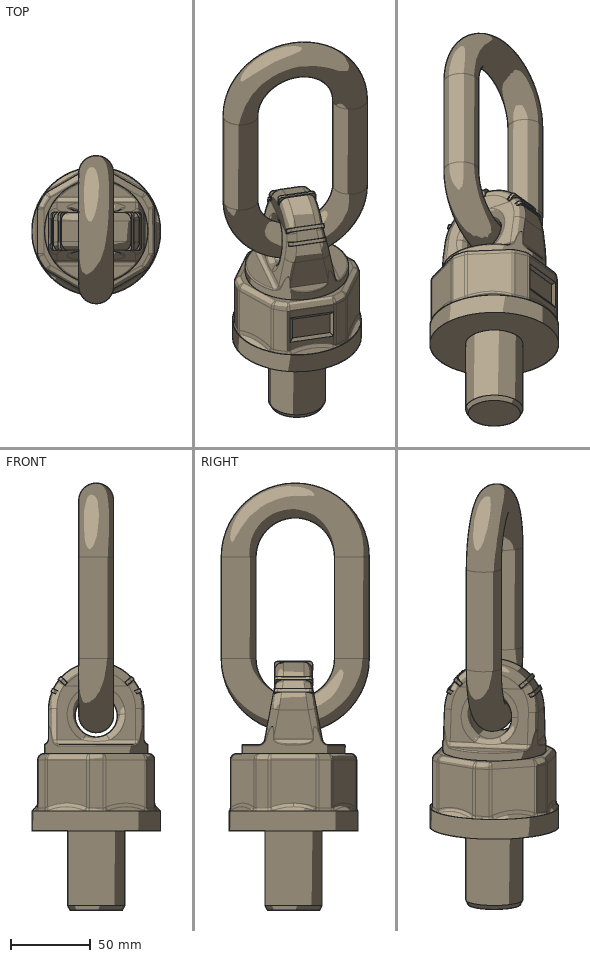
import cadquery as cq
import math

flange_bottom = 50.0
flange_top = 62.5
hex_top = 98.5
disc_top = 104.2
hole_height = 122.2
arch_height = 126.0
kink_height = 141.0
total_height = 268.5

margin = 0.8

stud_radius = 18.0
stud_chamfer_height = 3.0
stud_chamfer_inset = 1.5
flange_radius = 40.5
hex_half_width = 36.8
hex_corner_radius = 39.7
hex_edge_fillet = 4.8
hex_top_fillet = 4.0
flare_radius = 40.3
flare_fillet = 3.2

label_height = 80.3
label_floor_width = 24.2
label_floor_height = 14.0
label_depth = 1.3
label_wall_run = 2.1

disc_radius = 32.5
untrimmed_disc_radius = 48.3
disc_edge_fillet = 0.8
arch_radius = 30.0
arch_half_thickness = 11.8
cheek_slope = 10.7
hole_radius = 13.2
hole_fillet = 5.0
arch_fillet = 5.5
foot_fillet = 3.5

rib_angles = (24, 41, 90, 139, 156)
rib_width = 2.5
rib_height = 0.5
rib_inner_radius = 25.0
rib_corner_fillet = 2.1

link_width = 93.2
wire_radius = 11.0
link_lower_center = 158.2
link_shift = 1.0


def disc_at(height, radius, thickness):
    return cq.Workplane("XY", origin=(0, 0, height)).circle(radius).extrude(thickness)


def edge_box(half_x, bottom, top):
    """Picks edges within half_x of the axis and between two heights."""
    return cq.selectors.BoxSelector((-half_x, -flange_radius, bottom), (half_x, flange_radius, top))


def make_flare():
    """45-degree cone that runs from the flange up into the flats."""
    height = (hex_top - flange_top) / 2
    flare = cq.Solid.makeCone(
        flare_radius, flare_radius - height, height, pnt=cq.Vector(0, 0, flange_top)
    )
    return cq.Workplane(obj=flare)


def make_hexagon():
    """Hexagon with flats facing +X and -X, rounded corners and a flared foot."""
    height = hex_top - flange_top
    flats = cq.Workplane("XY", origin=(0, 0, flange_top)).polygon(
        6, 2 * hex_half_width, circumscribed=True
    ).extrude(height)
    hexagon = flats.intersect(disc_at(flange_top, hex_corner_radius, height))
    hexagon = hexagon.edges("|Z").fillet(hex_edge_fillet)
    hexagon = hexagon.faces(">Z").edges().fillet(hex_top_fillet)
    hexagon = hexagon.union(make_flare())
    return hexagon.edges("%HYPERBOLA").fillet(flare_fillet)


def make_label_recess():
    mouth_width = label_floor_width + 2 * label_wall_run
    mouth_height = label_floor_height + 2 * label_wall_run
    return (
        cq.Workplane("YZ", origin=(-hex_half_width, 0, label_height))
        .rect(mouth_width, mouth_height)
        .workplane(offset=label_depth)
        .rect(label_floor_width, label_floor_height)
        .loft()
    )


def make_stud():
    return cq.Workplane("XZ").polyline([
        (0, 0),
        (stud_radius - stud_chamfer_inset, 0),
        (stud_radius, stud_chamfer_height),
        (stud_radius, flange_bottom),
        (0, flange_bottom),
    ]).close().revolve(360, (0, 0, 0), (0, 1, 0))


def make_base():
    flange = disc_at(flange_bottom, flange_radius, flange_top - flange_bottom)
    return make_hexagon().union(flange).union(make_stud()).cut(make_label_recess())


def make_arch():
    """Round-topped upright whose cheeks lean outward below the kink, with a rounded rim."""
    outline = (
        cq.Workplane("XZ", origin=(0, flange_radius, 0))
        .moveTo(-arch_radius, hex_top)
        .lineTo(-arch_radius, arch_height)
        .threePointArc((0, arch_height + arch_radius), (arch_radius, arch_height))
        .lineTo(arch_radius, hex_top)
        .close()
        .extrude(2 * flange_radius)
    )
    foot_half = arch_half_thickness + (kink_height - hex_top) * math.tan(math.radians(cheek_slope))
    cheeks = cq.Workplane("YZ", origin=(-flange_radius, 0, 0)).polyline([
        (-foot_half, hex_top),
        (-arch_half_thickness, kink_height),
        (-arch_half_thickness, total_height),
        (arch_half_thickness, total_height),
        (arch_half_thickness, kink_height),
        (foot_half, hex_top),
    ]).close().extrude(2 * flange_radius)
    arch = outline.intersect(cheeks)
    rim = arch.edges(edge_box(disc_radius, hex_top + margin, total_height))
    return rim.edges("not(|X)").edges("not(|Y)").fillet(arch_fillet)


def make_rib(angle):
    length = arch_radius + rib_height - rib_inner_radius
    thickness = 2 * (arch_half_thickness + rib_height / 2)
    rib = cq.Workplane("XY").box(length, thickness, rib_width, centered=(False, True, True))
    rib = rib.faces(">X").edges("|Z").fillet(rib_corner_fillet)
    rib = rib.translate((rib_inner_radius, 0, 0)).rotate((0, 0, 0), (0, 1, 0), -angle)
    return rib.translate((0, 0, arch_height))


def make_hole():
    return cq.Workplane("XZ", origin=(0, flange_radius, hole_height)).circle(hole_radius).extrude(
        2 * flange_radius
    )


def make_eye():
    """Arch faired into an oversized disc, which is then trimmed round."""
    oversized_disc = disc_at(hex_top, untrimmed_disc_radius, disc_top - hex_top)
    eye = make_arch().union(oversized_disc)
    eye = eye.edges(edge_box(disc_radius, disc_top - margin, disc_top + margin)).fillet(foot_fillet)
    eye = eye.intersect(disc_at(hex_top, disc_radius, total_height))
    eye = eye.faces("+Z").edges("%CIRCLE").fillet(disc_edge_fillet)

    eye = eye.cut(make_hole())
    mouths = edge_box(
        hole_radius + margin, hole_height - hole_radius - margin, hole_height + hole_radius + margin
    )
    eye = eye.edges(mouths).fillet(hole_fillet)
    for angle in rib_angles:
        eye = eye.union(make_rib(angle))
    return eye


def make_link():
    bend_radius = link_width / 2 - wire_radius
    upper_center = total_height - link_width / 2
    path = (
        cq.Workplane("YZ")
        .moveTo(-bend_radius, link_lower_center)
        .lineTo(-bend_radius, upper_center)
        .threePointArc((0, upper_center + bend_radius), (bend_radius, upper_center))
        .lineTo(bend_radius, link_lower_center)
        .threePointArc((0, link_lower_center - bend_radius), (-bend_radius, link_lower_center))
        .close()
    )
    return cq.Workplane("XY", origin=(0, -bend_radius, link_lower_center)).circle(
        wire_radius
    ).sweep(path).translate((0, link_shift, 0))


base = make_base()
eye = make_eye()
link = make_link()
result = cq.Compound.makeCompound([base.solids().val(), eye.solids().val(), link.val()])